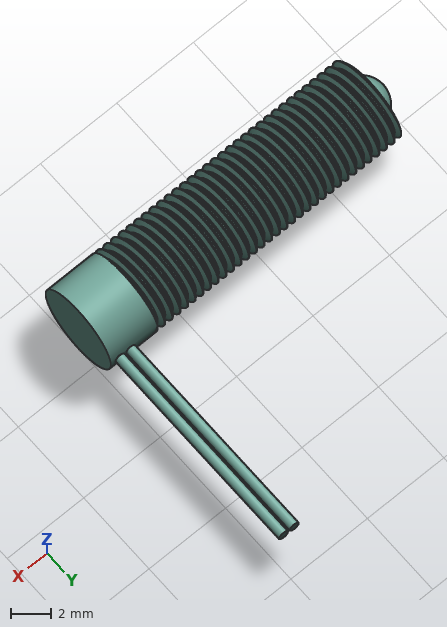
import math
import cadquery as cq

MAJOR_RADIUS = 2.5
THREAD_LENGTH = 16.0
PITCH = 0.5
FLANK_ANGLE = 60.0
THREAD_DEPTH = 0.3
CREST_WIDTH = PITCH / 8
CREST_AT_TOP = 0.09
ROOT_RADIUS = MAJOR_RADIUS - THREAD_DEPTH
GROOVE_OVERSHOOT = 0.02
SEGMENT_TURNS = 2
SEGMENT_LENGTH = SEGMENT_TURNS * PITCH

HEAD_LENGTH = 3.0
HEAD_END = THREAD_LENGTH + HEAD_LENGTH

BALL_RADIUS = 1.5
BALL_PROTRUSION = 1.0

WIRE_RADIUS = 0.3
WIRE_REACH = 15.0
WIRE_SPACING = 0.7
LAST_WIRE_INSET = 0.6


def cylinder_along_x(radius, start, length):
    return cq.Workplane("YZ", origin=(start, 0, 0)).circle(radius).extrude(length)


def groove_segment():
    """Right-handed helical groove about Z, SEGMENT_TURNS long, starting on the +X side at Z = 0."""
    outer_radius = MAJOR_RADIUS + GROOVE_OVERSHOOT
    flank_run = math.tan(math.radians(FLANK_ANGLE / 2))
    half_top = (PITCH - CREST_WIDTH) / 2 + GROOVE_OVERSHOOT * flank_run
    half_root = half_top - (outer_radius - ROOT_RADIUS) * flank_run
    corners = [
        (ROOT_RADIUS, -half_root),
        (outer_radius, -half_top),
        (outer_radius, half_top),
        (ROOT_RADIUS, half_root),
    ]

    helices = [
        cq.Wire.makeHelix(PITCH, SEGMENT_LENGTH, radius, center=cq.Vector(0, 0, offset))
        for radius, offset in corners
    ]
    faces = [
        cq.Face.makeRuledSurface(helix, next_helix)
        for helix, next_helix in zip(helices, helices[1:] + helices[:1])
    ]

    for cap_z in (0, SEGMENT_LENGTH):
        cap_points = [cq.Vector(radius, 0, cap_z + offset) for radius, offset in corners]
        faces.append(cq.Face.makeFromWires(cq.Wire.makePolygon(cap_points, close=True)))
    return cq.Solid.makeSolid(cq.Shell.makeShell(faces))


def threaded_body():
    segment = groove_segment().rotate((0, 0, 0), (0, 1, 0), 90).rotate((0, 0, 0), (1, 0, 0), 180)

    groove_at_top = CREST_AT_TOP + PITCH / 2
    first_start = groove_at_top - SEGMENT_LENGTH
    segment_count = math.ceil((THREAD_LENGTH + PITCH - first_start) / SEGMENT_LENGTH)
    grooves = [
        segment.translate(cq.Vector(first_start + index * SEGMENT_LENGTH, 0, 0))
        for index in range(segment_count)
    ]
    rod = cylinder_along_x(MAJOR_RADIUS, 0, THREAD_LENGTH).val()
    return cq.Workplane(rod.cut(*grooves))


def ball_nose():
    return cq.Workplane("XY").sphere(BALL_RADIUS).translate((BALL_RADIUS - BALL_PROTRUSION, 0, 0))


def lead_wires():
    last_wire = HEAD_END - LAST_WIRE_INSET
    return (
        cq.Workplane("XZ")
        .pushPoints([(last_wire - WIRE_SPACING, 0), (last_wire, 0)])
        .circle(WIRE_RADIUS)
        .extrude(-WIRE_REACH)
    )


result = (
    threaded_body()
    .union(cylinder_along_x(MAJOR_RADIUS, THREAD_LENGTH, HEAD_LENGTH))
    .union(ball_nose())
    .union(lead_wires())
)